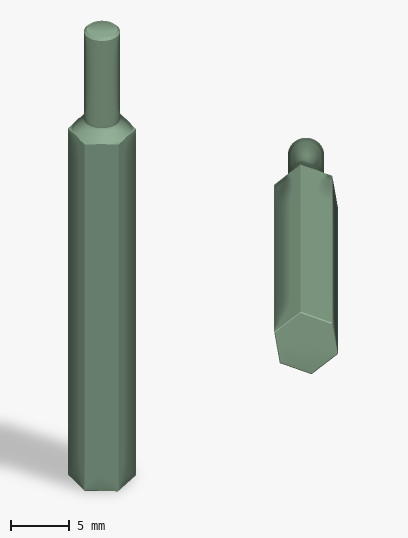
import cadquery as cq
import math

total_length = 45
hex_across_flats = 5.0
shoulder_top = 36
shoulder_radius = 2.55
stud_diameter = 3.05
stud_chamfer = 0.22
base_chamfer = 0.1

hex_across_corners = hex_across_flats / math.cos(math.pi / 6)
corner_radius = hex_across_corners / 2
stud_radius = stud_diameter / 2
shoulder_base = shoulder_top - (shoulder_radius - stud_radius)


def hex_bar():
    """Hexagonal prism over the full length, with two corners on the X axis."""
    bar = cq.Workplane("XY").polygon(6, hex_across_corners).extrude(total_length)
    return bar.faces("<Z").chamfer(base_chamfer)


def turned_envelope():
    """Round profile that leaves the stud, its shoulder and the corner ledges."""
    profile = [
        (0, 0),
        (corner_radius, 0),
        (corner_radius, shoulder_base),
        (shoulder_radius, shoulder_base),
        (stud_radius, shoulder_top),
        (stud_radius, total_length - stud_chamfer),
        (stud_radius - stud_chamfer, total_length),
        (0, total_length),
    ]
    return cq.Workplane("XZ").polyline(profile).close().revolve(360, (0, 0), (0, 1))


result = hex_bar().intersect(turned_envelope())